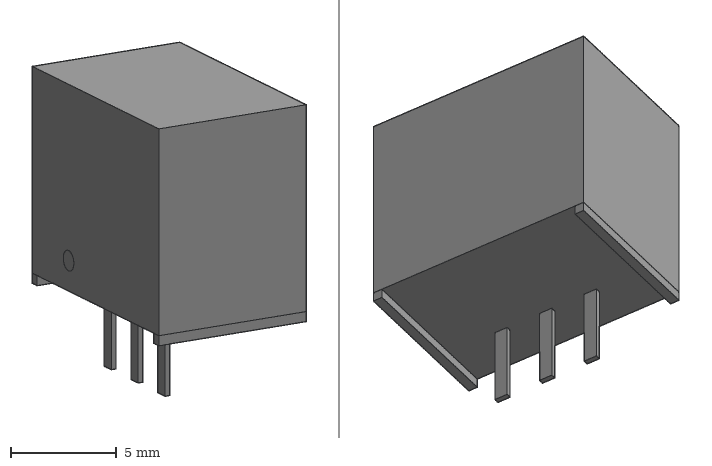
import cadquery as cq

width = 12.0
depth = 8.05
overall_height = 14.3

pin_count = 3
pin_pitch = 2.55
pin_width = 0.7
pin_thickness = 0.26
pin_length = 4.1
pin_front_offset = 2.26

rail_width = 0.49
rail_height = 0.5

marker_diameter = 1.0
marker_depth = 0.1
marker_height = 1.5

housing_height = overall_height - pin_length
front_y = -depth / 2
pin_y = front_y + pin_front_offset
first_pin_x = -pin_pitch * (pin_count - 1) / 2
rail_x = (width - rail_width) / 2


def make_marker():
    """Disc whose outer face lies in the front face, above the first pin."""
    front_plane = cq.Plane(origin=(first_pin_x, front_y, marker_height), normal=(0, 1, 0))
    return cq.Workplane(front_plane).circle(marker_diameter / 2).extrude(marker_depth)


def make_housing(marker):
    """Plain block with a matching recess for the marker."""
    block = cq.Workplane("XY").box(width, depth, housing_height, centered=(True, True, False))
    return block.cut(marker)


def make_rail(x):
    """Standoff rail running the full depth, touching the underside."""
    return cq.Workplane("XY").center(x, 0).rect(rail_width, depth).extrude(-rail_height)


def make_pin(x):
    """Flat lead hanging from the underside."""
    return cq.Workplane("XY").center(x, pin_y).rect(pin_width, pin_thickness).extrude(-pin_length)


marker = make_marker()
housing = make_housing(marker)
rails = [make_rail(side * rail_x) for side in (-1, 1)]
pins = [make_pin(first_pin_x + i * pin_pitch) for i in range(pin_count)]

result = cq.Compound.makeCompound([
    housing.val(),
    marker.val(),
    *[rail.val() for rail in rails],
    *[pin.val() for pin in pins],
])